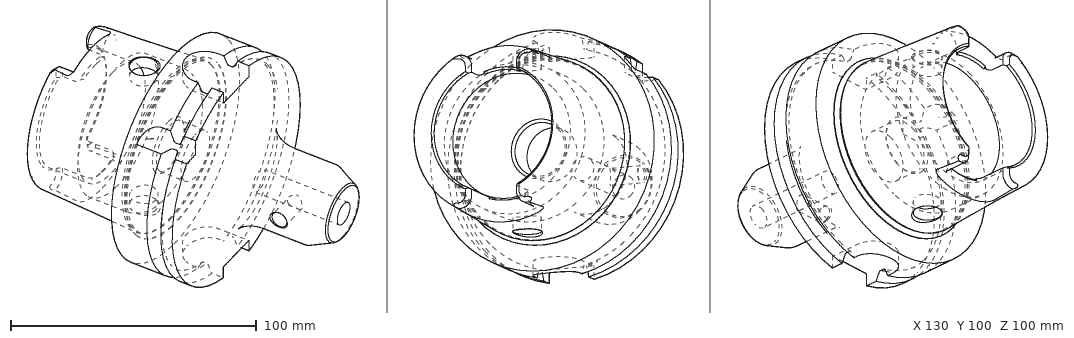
import cadquery as cq
import math


total_length = 130.0
shank_length = 49.8
flange_thickness = 29.0
flange_rear = shank_length + flange_thickness

arc_middle = math.sqrt(0.5)
pick_margin = 0.1

shank_base_radius = 37.8
taper_half_ratio = 1 / 20
taper_end = 47.5
shank_front_radius = shank_base_radius - taper_end * taper_half_ratio
shank_front_fillet = 1.8
neck_start = 48.2
neck_radius = 37.5
neck_fillet = 1.0
relief_outer_radius = 39.3
relief_depth = 0.3

bore_radius = 26.3
bore_chamfer = 0.9
bore_length = 19.4
recess_radius = 31.5
recess_slope = math.radians(60)
recess_end = 39.6
cavity_floor_radius = 24.8
cavity_fillet = recess_radius - cavity_floor_radius
cavity_floor = recess_end + cavity_fillet
socket_radius = 11.2
socket_chamfer = 1.2
socket_depth = 13.0

drive_slot_half_width = 10.0
drive_slot_round = 5.1
drive_slot_shoulder = 31.8
drive_slot_edge = 2.0
top_slot_depth = 9.9
bottom_slot_depth = 15.0

access_hole_x = 34.7
access_hole_radius = 5.8
access_hole_chamfer = 0.6

flange_diameter = 100.0
flange_radius = flange_diameter / 2
groove_start = 66.7
groove_end = 73.3
groove_floor_radius = 46.0
groove_wall_angle = math.radians(26)
groove_fillet = 1.0

keyway_start = 54.9
keyway_half_width = 10.0
keyway_floor = 43.3
notch_offset = 31.6
notch_corner_radius = 8.0
milled_floor_fillet = 0.4

nose_radius = 17.5
nose_blend = 20.0
cone_start = 119.3
cone_angle = math.radians(25)
cone_blend = 1.0
tip_length = 0.8
tip_radius = 12.2
tool_bore_radius = 5.0
tool_bore_depth = 40.3
lock_hole_x = 109.7
lock_hole_radius = 3.5
lock_hole_chamfer = 0.6


def revolve_about_axis(profile):
    """Close a half section and turn it fully round the X axis."""
    return profile.close().revolve(360, (0, 0, 0), (1, 0, 0))


def edges_between(x_min, x_max):
    """Selector for the edges whose centres lie between two places along the axis."""
    return cq.selectors.BoxSelector(
        (x_min, -flange_radius, -flange_radius), (x_max, flange_radius, flange_radius)
    )


def make_body():
    """Turned outside shape, with a shallow relief ring in the flange face around the neck."""
    relief_floor = shank_length + relief_depth
    neck_fillet_start = relief_floor - neck_fillet
    neck_fillet_reach = neck_fillet * arc_middle
    neck_fillet_radius = neck_radius + neck_fillet
    cone_end = total_length - tip_length
    cone_end_radius = nose_radius - (cone_end - cone_start) * math.tan(cone_angle)
    blend_centre = (flange_rear + nose_blend, nose_radius + nose_blend)
    blend_reach = nose_blend * arc_middle
    profile = (
        cq.Workplane("XY")
        .lineTo(0, shank_front_radius)
        .lineTo(taper_end, shank_base_radius)
        .lineTo(neck_start, neck_radius)
        .lineTo(neck_fillet_start, neck_radius)
        .threePointArc(
            (neck_fillet_start + neck_fillet_reach, neck_fillet_radius - neck_fillet_reach),
            (relief_floor, neck_fillet_radius),
        )
        .lineTo(relief_floor, relief_outer_radius)
        .lineTo(shank_length, relief_outer_radius)
        .lineTo(shank_length, flange_radius)
        .lineTo(flange_rear, flange_radius)
        .lineTo(flange_rear, blend_centre[1])
        .threePointArc(
            (blend_centre[0] - blend_reach, blend_centre[1] - blend_reach),
            (blend_centre[0], nose_radius),
        )
        .lineTo(cone_start, nose_radius)
        .lineTo(cone_end, cone_end_radius)
        .lineTo(total_length, tip_radius)
        .lineTo(total_length, 0)
    )
    body = revolve_about_axis(profile)
    front_rim = edges_between(-pick_margin, pick_margin)
    body = body.edges(front_rim).fillet(shank_front_fillet)
    cone_rim = edges_between(cone_start - pick_margin, cone_start + pick_margin)
    return body.edges(cone_rim).fillet(cone_blend)


def make_cavity():
    """Clamping bore, undercut recess with a rounded bottom, and central socket."""
    recess_start = bore_length + (recess_radius - bore_radius) / math.tan(recess_slope)
    fillet_reach = cavity_fillet * arc_middle
    profile = (
        cq.Workplane("XY")
        .lineTo(0, bore_radius + bore_chamfer)
        .lineTo(bore_chamfer, bore_radius)
        .lineTo(bore_length, bore_radius)
        .lineTo(recess_start, recess_radius)
        .lineTo(recess_end, recess_radius)
        .threePointArc(
            (recess_end + fillet_reach, cavity_floor_radius + fillet_reach),
            (cavity_floor, cavity_floor_radius),
        )
        .lineTo(cavity_floor, socket_radius + socket_chamfer)
        .lineTo(cavity_floor + socket_chamfer, socket_radius)
        .lineTo(cavity_floor + socket_depth, socket_radius)
        .lineTo(cavity_floor + socket_depth, 0)
    )
    return revolve_about_axis(profile)


def drive_slot_outline(margin):
    """Slot section that flares out to a flat shoulder, enlarged by the margin."""
    half_width = drive_slot_half_width + margin
    shoulder = drive_slot_shoulder - margin
    rounding = drive_slot_round - margin
    reach = rounding * (1 - arc_middle)
    outer = flange_radius
    return (
        cq.Workplane("YZ")
        .moveTo(-half_width, 0)
        .lineTo(-half_width, shoulder - rounding)
        .threePointArc(
            (-half_width - reach, shoulder - reach),
            (-half_width - rounding, shoulder),
        )
        .lineTo(-outer, shoulder)
        .lineTo(-outer, outer)
        .lineTo(outer, outer)
        .lineTo(outer, shoulder)
        .lineTo(half_width + rounding, shoulder)
        .threePointArc(
            (half_width + reach, shoulder - reach),
            (half_width, shoulder - rounding),
        )
        .lineTo(half_width, 0)
        .close()
    )


def make_drive_slot(depth):
    """Upward slot with a rounded floor edge, a bevelled mouth and a bevelled bore rim."""
    slot = drive_slot_outline(0).extrude(depth).faces(">X").edges().fillet(drive_slot_edge)
    mouth = drive_slot_outline(drive_slot_edge).extrude(drive_slot_edge, taper=45)
    rim_bevel = cq.Workplane(
        cq.Solid.makeCone(
            bore_radius + bore_chamfer, bore_radius, bore_chamfer,
            cq.Vector(depth, 0, 0), cq.Vector(1, 0, 0),
        )
    )
    rim_width = 2 * (drive_slot_half_width - drive_slot_edge)
    rim_window = cq.Workplane("XY").box(
        total_length, rim_width, flange_radius, centered=(True, True, False)
    )
    return slot.union(mouth).union(rim_bevel.intersect(rim_window))


def make_flange_groove():
    """V groove round the flange with a flat floor and rounded floor corners."""
    wall_run = (flange_radius - groove_floor_radius) * math.tan(groove_wall_angle)
    profile = (
        cq.Workplane("XY")
        .moveTo(groove_start, flange_radius)
        .lineTo(groove_start + wall_run, groove_floor_radius)
        .lineTo(groove_end - wall_run, groove_floor_radius)
        .lineTo(groove_end, flange_radius)
    )
    groove = revolve_about_axis(profile)
    floor_rims = edges_between(groove_start + pick_margin, groove_end - pick_margin)
    return groove.edges(floor_rims).edges("%CIRCLE").fillet(groove_fillet)


def make_keyway():
    """Round-ended keyway open at the rear of the flange, on the +Z side."""
    round_centre = keyway_start + keyway_half_width
    keyway = (
        cq.Workplane("XY", origin=(0, 0, keyway_floor))
        .moveTo(flange_rear, -keyway_half_width)
        .lineTo(round_centre, -keyway_half_width)
        .threePointArc((keyway_start, 0), (round_centre, keyway_half_width))
        .lineTo(flange_rear, keyway_half_width)
        .close()
        .extrude(flange_radius - keyway_floor)
    )
    return keyway.faces("<Z").edges("not >X").fillet(milled_floor_fillet)


def make_corner_notch():
    """Square notch in the flange between the -Y and +Z sides, with rounded inner edges."""
    size = flange_radius - notch_offset
    notch = (
        cq.Workplane("XY")
        .box(flange_rear - keyway_start, size, size, centered=False)
        .translate((keyway_start, -flange_radius, notch_offset))
    )
    notch = notch.edges("<X and >Y").fillet(notch_corner_radius)
    return notch.faces("<Z").edges("not (>X or <Y)").fillet(milled_floor_fillet)


def make_countersink(radius, chamfer, mouth, inward):
    """Cone at a hole mouth, extended outwards to clear the curved surface."""
    base = mouth - inward * chamfer
    cone = cq.Solid.makeCone(radius + 2 * chamfer, radius, 2 * chamfer, base, inward)
    return cq.Workplane(cone)


def make_access_hole():
    """Hole across the shank along Z, chamfered at both mouths."""
    mouth_height = shank_front_radius + access_hole_x * taper_half_ratio
    hole = (
        cq.Workplane("XY", origin=(access_hole_x, 0, -flange_radius))
        .circle(access_hole_radius)
        .extrude(2 * flange_radius)
    )
    for side in (1, -1):
        mouth = cq.Vector(access_hole_x, 0, side * mouth_height)
        inward = cq.Vector(0, 0, -side)
        hole = hole.union(
            make_countersink(access_hole_radius, access_hole_chamfer, mouth, inward)
        )
    return hole


def make_lock_hole():
    """Screw hole from the -Y side into the tool bore."""
    inward = cq.Vector(0, 1, 0)
    mouth = cq.Vector(lock_hole_x, -nose_radius, 0)
    hole = cq.Workplane(cq.Solid.makeCylinder(lock_hole_radius, nose_radius, mouth, inward))
    return hole.union(make_countersink(lock_hole_radius, lock_hole_chamfer, mouth, inward))


def make_tool_bore():
    """Blind bore for the tool, from the nose end."""
    return (
        cq.Workplane("YZ", origin=(total_length - tool_bore_depth, 0, 0))
        .circle(tool_bore_radius)
        .extrude(tool_bore_depth)
    )


def turned_over(shape):
    """The same shape turned half a turn about the axis."""
    return shape.rotate((0, 0, 0), (1, 0, 0), 180)


keyway = make_keyway()
cutters = [
    make_cavity(),
    make_drive_slot(top_slot_depth),
    turned_over(make_drive_slot(bottom_slot_depth)),
    make_access_hole(),
    make_flange_groove(),
    keyway,
    turned_over(keyway),
    make_corner_notch(),
    make_tool_bore(),
    make_lock_hole(),
]

result = make_body()
for cutter in cutters:
    result = result.cut(cutter)